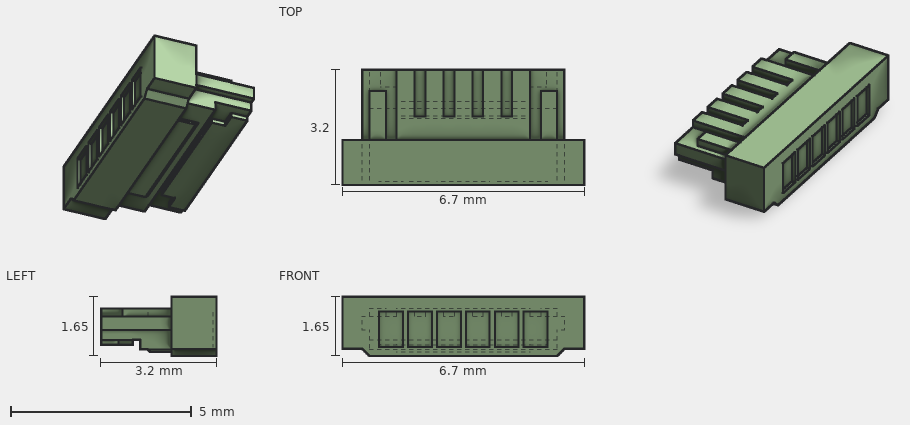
import cadquery as cq

HEAD_WIDTH = 6.7
HEAD_DEPTH = 1.25
TOTAL_DEPTH = 3.2
TOTAL_HEIGHT = 1.65
KEEL_HEIGHT = 0.2

PLATE_WIDTH = 5.6
PLATE_BOTTOM = 0.73
PLATE_TOP = 1.1
TONGUE_TOP = 1.32
DECK_WIDTH = 3.7
CORE_WIDTH = 5.2
CORE_BOTTOM = 0.45
STEP_BOTTOM = 0.19
STEP_END = 2.12

PITCH = 0.8
WINDOW_COUNT = 6
WINDOW_WIDTH = 0.66
WINDOW_BOTTOM = 0.25
WINDOW_TOP = 1.24
WINDOW_DEPTH = 0.1
SLOT_COUNT = 4
SLOT_WIDTH = 0.3
SLOT_START = 1.9

RIB_WIDTH = 0.45
RIB_OFFSET = 2.37
RIB_END = 2.6

PAD_BOTTOM = 0.31
CENTER_PAD_START = 2.32
SIDE_PAD_START = 2.72
SIDE_PADS_WIDTH = 4.6

LATCH_BOTTOM = 0.11
LATCH_END = 1.92
LATCH_CHAMFER = STEP_BOTTOM - LATCH_BOTTOM


def block(width, y_range, z_range, center_x=0):
    """Box centred on center_x, spanning the given Y and Z ranges."""
    y_start, y_end = y_range
    z_bottom, z_top = z_range
    box = cq.Workplane("XY").box(width, y_end - y_start, z_top - z_bottom, centered=(True, False, False))
    return box.translate((center_x, y_start, z_bottom))


def row_positions(count):
    """X positions of a row of features at the contact pitch, centred on X = 0."""
    return [(index - (count - 1) / 2) * PITCH for index in range(count)]


def make_head():
    """Wide block with a keel and a row of shallow windows in its front face."""
    half_head = HEAD_WIDTH / 2
    half_keel_top = PLATE_WIDTH / 2
    half_keel_bottom = half_keel_top - KEEL_HEIGHT
    outline = [
        (-half_head, TOTAL_HEIGHT),
        (-half_head, KEEL_HEIGHT),
        (-half_keel_top, KEEL_HEIGHT),
        (-half_keel_bottom, 0),
        (half_keel_bottom, 0),
        (half_keel_top, KEEL_HEIGHT),
        (half_head, KEEL_HEIGHT),
        (half_head, TOTAL_HEIGHT),
    ]
    head = cq.Workplane("XZ").polyline(outline).close().extrude(-HEAD_DEPTH)
    for x in row_positions(WINDOW_COUNT):
        head = head.cut(block(WINDOW_WIDTH, (0, WINDOW_DEPTH), (WINDOW_BOTTOM, WINDOW_TOP), x))
    return head


def make_deck():
    """Raised middle of the tongue, slotted from the rear down to the plate."""
    deck = block(DECK_WIDTH, (HEAD_DEPTH, TOTAL_DEPTH), (PLATE_TOP, TONGUE_TOP))
    for x in row_positions(SLOT_COUNT):
        deck = deck.cut(block(SLOT_WIDTH, (SLOT_START, TOTAL_DEPTH), (PLATE_TOP, TONGUE_TOP), x))
    return deck


def make_tongue():
    """Plate, core, deeper step, slotted deck and guide ribs behind the head."""
    full_length = (HEAD_DEPTH, TOTAL_DEPTH)
    tongue = block(PLATE_WIDTH, full_length, (PLATE_BOTTOM, PLATE_TOP))
    tongue = tongue.union(block(CORE_WIDTH, full_length, (CORE_BOTTOM, PLATE_BOTTOM)))
    tongue = tongue.union(block(CORE_WIDTH, (HEAD_DEPTH, STEP_END), (STEP_BOTTOM, CORE_BOTTOM)))
    tongue = tongue.union(make_deck())
    for x in (-RIB_OFFSET, RIB_OFFSET):
        tongue = tongue.union(block(RIB_WIDTH, (HEAD_DEPTH, RIB_END), (PLATE_TOP, TONGUE_TOP), x))
    return tongue


def make_pads():
    """Long centre pad flanked by shorter side pads, flush with the rear face."""
    pad_levels = (PAD_BOTTOM, CORE_BOTTOM)
    center_pad = block(DECK_WIDTH, (CENTER_PAD_START, TOTAL_DEPTH), pad_levels)
    side_pads = block(SIDE_PADS_WIDTH, (SIDE_PAD_START, TOTAL_DEPTH), pad_levels)
    return center_pad.union(side_pads)


def make_latch():
    """Low bar under the step with a bevelled rear end."""
    outline = [
        (HEAD_DEPTH, STEP_BOTTOM),
        (HEAD_DEPTH, LATCH_BOTTOM),
        (LATCH_END - LATCH_CHAMFER, LATCH_BOTTOM),
        (LATCH_END, STEP_BOTTOM),
    ]
    return cq.Workplane("YZ").polyline(outline).close().extrude(DECK_WIDTH / 2, both=True)


result = make_head().union(make_tongue()).union(make_pads()).union(make_latch())